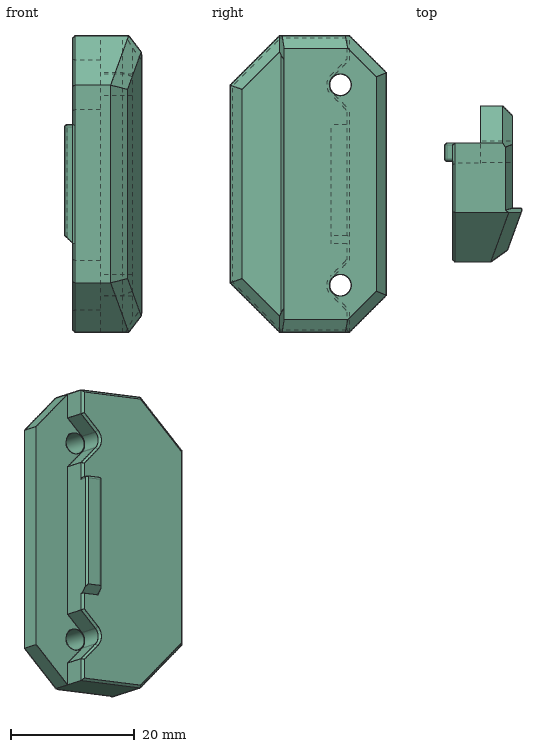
import cadquery as cq
import math

height = 48.0
depth = 25.3
thickness = 12.5
face_x = 1.3
step_x = 5.75
plate_x = 11.0
step_y = 19.3
front_corner = 8.0
back_corner = depth - step_y
face_chamfer = 0.4

lip_slope = math.radians(20)
bevel_x = 7.45
ridge_x = 10.2
lip_thickness = 0.7
lip_drop = 2.65
shoulder_x = 0.9
shoulder_y = 0.7
lip_edge_fillet = 0.2
lip_tip_inset = 0.1
corner_top_x = bevel_x + front_corner * math.tan(lip_slope)
lip_tip_x = thickness - lip_tip_inset
ridge_y = front_corner - (lip_tip_x - ridge_x) / math.tan(lip_slope)
lip_tip_y = front_corner + lip_tip_inset / math.tan(lip_slope)
lip_back_y = front_corner + lip_thickness

back_bevel = 1.65
end_bevel_x = 1.15
end_bevel_z = 2.05

hole_diameter = 3.45
hole_y = 17.85
hole_heights = (7.65, 40.05)
notch_radius = 1.8

rail_width = 3.0
rail_bottom = 14.4
rail_top = 33.6
rail_fillet = 0.4

OVERSIZE = 96.0


def remove_beyond(body, point, normal):
    """Cut away everything on the normal side of a plane."""
    plane = cq.Plane(origin=point, normal=normal)
    return body.cut(cq.Workplane(plane).rect(OVERSIZE, OVERSIZE).extrude(OVERSIZE))


def make_plate():
    """Plate behind the lip, with bevels on its outer back and end edges."""
    plate = (
        cq.Workplane("YZ", origin=(face_x, 0, 0))
        .polyline(
            [
                (front_corner, 0),
                (step_y, 0),
                (depth, back_corner),
                (depth, height - back_corner),
                (step_y, height),
                (front_corner, height),
            ]
        )
        .close()
        .extrude(plate_x - face_x)
    )
    bevel_start_x = plate_x - back_bevel
    plate = remove_beyond(plate, (bevel_start_x, depth, height / 2), (1, 1, 0))
    diagonal = math.sqrt(0.5)
    for end_z, up in ((0, -1), (height, 1)):
        plate = remove_beyond(plate, (bevel_start_x, step_y, end_z), (1, diagonal, up * diagonal))
        end_normal = (end_bevel_z, 0, up * end_bevel_x)
        plate = remove_beyond(plate, (plate_x - end_bevel_x, 0, end_z), end_normal)
    return plate


def make_front():
    """Front part of the body, ending in the outward lip."""
    front = (
        cq.Workplane("XY")
        .polyline(
            [
                (face_x, 0),
                (bevel_x, 0),
                (ridge_x, ridge_y),
                (thickness, lip_tip_y),
                (thickness, lip_back_y),
                (face_x, lip_back_y),
            ]
        )
        .close()
        .extrude(height)
        .edges(">X and >Y")
        .fillet(lip_edge_fillet)
    )
    for end_z, up in ((0, -1), (height, 1)):
        front = remove_beyond(front, (0, front_corner, end_z), (0, -1, up))
        corner_top = cq.Vector(corner_top_x, front_corner, end_z)
        slope_edge = cq.Vector(corner_top_x - bevel_x, front_corner, up * front_corner)
        lip_end_edge = cq.Vector(lip_tip_x - corner_top_x, 0, -up * lip_drop)
        corner_normal = slope_edge.cross(lip_end_edge) * -up
        front = remove_beyond(front, corner_top, corner_normal)
        shoulder_edge = cq.Vector(-shoulder_x, shoulder_y, 0)
        lip_end_normal = lip_end_edge.cross(shoulder_edge) * up
        front = remove_beyond(front, corner_top, lip_end_normal)
    return front


def notch_cutter(center_z):
    """Rounded 45 degree V notch around a screw hole, open towards the back flange."""
    tangent = notch_radius * math.sqrt(0.5)
    mouth = notch_radius * math.sqrt(2) + step_y - hole_y
    return (
        cq.Workplane("YZ")
        .moveTo(step_y, center_z - mouth)
        .lineTo(hole_y - tangent, center_z - tangent)
        .threePointArc((hole_y - notch_radius, center_z), (hole_y - tangent, center_z + tangent))
        .lineTo(step_y, center_z + mouth)
        .close()
        .extrude(step_x)
    )


def make_rail():
    """Rounded rail on the main face, with a 45 degree ramp at its lower end."""
    rail = (
        cq.Workplane("XY")
        .box(face_x + face_chamfer, rail_width, rail_top - rail_bottom, centered=False)
        .translate((0, step_y - rail_width, rail_bottom))
    )
    rail = remove_beyond(rail, (face_x, 0, rail_bottom), (-1, 0, -1))
    outer_edges = rail.faces("<X").edges("|Z or >Z")
    rail = outer_edges.add(rail.faces(">Z").edges("|X")).fillet(rail_fillet)
    return remove_beyond(rail, (0, step_y - face_chamfer, rail_top), (-1, 1, 0))


body = make_plate().union(make_front())
back_pocket = cq.Workplane("XY").box(step_x, depth, height, centered=False).translate((0, step_y, 0))
body = body.cut(back_pocket)
for hole_z in hole_heights:
    body = body.cut(notch_cutter(hole_z))
body = body.faces("<X").chamfer(face_chamfer)

for hole_z in hole_heights:
    hole = cq.Workplane("YZ", origin=(step_x, hole_y, hole_z)).circle(hole_diameter / 2).extrude(thickness)
    body = body.cut(hole)

result = body.union(make_rail())